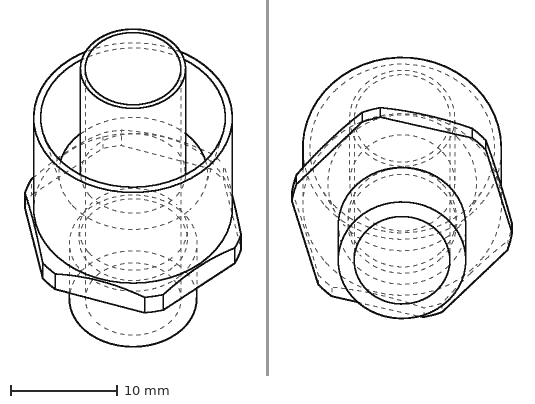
import cadquery as cq

thread_top = 8.02
neck_bottom = 8.5
hex_bottom = 10.0
hex_edge_top = 12.2
hex_top = 13.0
collar_top = 26.0
total_height = 33.0

thread_diameter = 12.0
neck_diameter = 10.2
hex_across_flats = 19.0
hex_corner_diameter = 21.0
hex_turn = 30
collar_diameter = 18.7
socket_mouth_diameter = 17.4
socket_floor_diameter = 14.0
tube_diameter = 9.9
bore_diameter = 9.0

socket_depth = 8.0
socket_floor = collar_top - socket_depth


def revolve_profile(points):
    """Revolve a closed (radius, height) outline about the Z axis."""
    profile = cq.Workplane("XZ").polyline(points).close()
    return profile.revolve(360, (0, 0, 0), (0, 1, 0))


def cylinder(diameter, bottom, top):
    return cq.Workplane("XY").workplane(offset=bottom).circle(diameter / 2).extrude(top - bottom)


def make_threaded_end():
    """Plain lower spigot with a bevel up to the narrower neck."""
    return revolve_profile([
        (0, 0),
        (thread_diameter / 2, 0),
        (thread_diameter / 2, thread_top),
        (neck_diameter / 2, neck_bottom),
        (neck_diameter / 2, hex_bottom),
        (0, hex_bottom),
    ])


def make_hex_flange():
    """Hexagon trimmed by a turned envelope that rounds its corners and bevels its top."""
    hexagon = (
        cq.Workplane("XY").workplane(offset=hex_bottom)
        .polygon(6, hex_across_flats, circumscribed=True)
        .extrude(hex_top - hex_bottom)
        .rotate((0, 0, 0), (0, 0, 1), hex_turn)
    )
    envelope = revolve_profile([
        (0, hex_bottom),
        (hex_corner_diameter / 2, hex_bottom),
        (hex_corner_diameter / 2, hex_edge_top),
        (collar_diameter / 2, hex_top),
        (0, hex_top),
    ])
    return hexagon.intersect(envelope)


def make_socket():
    """Tapered recess, narrowing from the collar mouth to its floor."""
    return revolve_profile([
        (0, socket_floor),
        (socket_floor_diameter / 2, socket_floor),
        (socket_mouth_diameter / 2, collar_top),
        (0, collar_top),
    ])


collar = cylinder(collar_diameter, hex_top, collar_top).cut(make_socket())
tube = cylinder(tube_diameter, hex_bottom, total_height)
bore = cylinder(bore_diameter, 0, total_height)

result = make_threaded_end().union(make_hex_flange()).union(collar).union(tube).cut(bore)